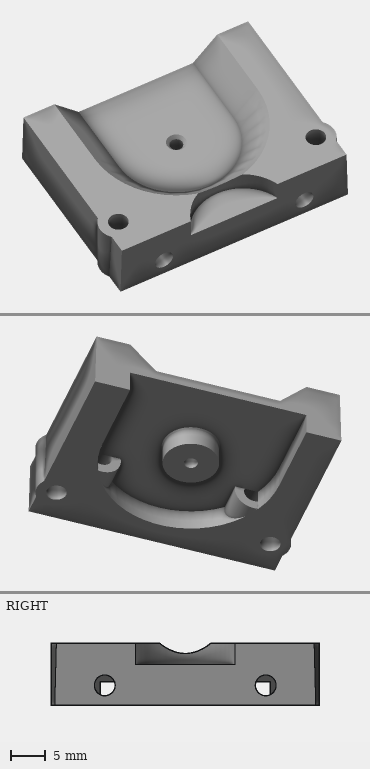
import cadquery as cq

length = 29.0
width = 38.8
height = 9.0
body_half_width_top = 18.6
body_half_width_bottom = 18.85

screw_hole_diameter = 3.0
lug_x = 23.97
lug_y = 16.35
lug_radius = width / 2 - lug_y

recess_x = 11.95
recess_top_radius = 13.5
recess_floor_z = 4.95
recess_depth = height - recess_floor_z
recess_floor_radius = recess_top_radius - recess_depth

pocket_radius = recess_top_radius
pocket_depth = 3.4

post_radius = 8.2 / 2
post_bottom_z = 0.27
flare_height = 0.27
flare_width = 0.15
center_hole_diameter = 2.0
countersink_diameter = 3.0

cross_hole_diameter = 3.0
cross_hole_y = 11.65
cross_hole_z = 2.9
cross_boss_radius = 2.9
cross_boss_x = 17.6

notch_radius = 7.65
notch_start_x = 23.97
notch_floor_z = 5.9


def cylinder(x, y, bottom_z, radius, cylinder_height):
    return cq.Workplane("XY", origin=(x, y, bottom_z)).circle(radius).extrude(cylinder_height)


def x_cylinder(start_x, y, z, radius):
    """Cylinder along X from start_x to the +X end of the body."""
    return cq.Workplane("YZ", origin=(start_x, y, z)).circle(radius).extrude(length - start_x)


def make_body():
    profile = [
        (-body_half_width_bottom, 0),
        (body_half_width_bottom, 0),
        (body_half_width_top, height),
        (-body_half_width_top, height),
    ]
    body = cq.Workplane("YZ").polyline(profile).close().extrude(length)
    for side in (-1, 1):
        body = body.union(cylinder(lug_x, side * lug_y, 0, lug_radius, height))
    return body


def make_recess():
    channel_profile = [
        (-recess_floor_radius, recess_floor_z),
        (recess_floor_radius, recess_floor_z),
        (recess_top_radius, height),
        (-recess_top_radius, height),
    ]
    channel = cq.Workplane("YZ").polyline(channel_profile).close().extrude(recess_x)
    cone = cq.Solid.makeCone(
        recess_floor_radius, recess_top_radius, recess_depth, cq.Vector(recess_x, 0, recess_floor_z)
    )
    return channel.union(cq.Workplane(cone))


def make_pocket():
    channel = cq.Workplane("XY").rect(2 * recess_x, 2 * pocket_radius).extrude(pocket_depth)
    pocket = channel.union(cylinder(recess_x, 0, 0, pocket_radius, pocket_depth))
    for side in (-1, 1):
        pocket = pocket.cut(x_cylinder(cross_boss_x, side * cross_hole_y, cross_hole_z, cross_boss_radius))
    return pocket


def make_post():
    post = cylinder(recess_x, 0, post_bottom_z, post_radius, pocket_depth - post_bottom_z)
    flare = cq.Solid.makeCone(
        post_radius,
        post_radius + flare_width,
        flare_height,
        cq.Vector(recess_x, 0, pocket_depth - flare_height),
    )
    return post.union(cq.Workplane(flare))


def make_center_hole():
    hole = cylinder(recess_x, 0, 0, center_hole_diameter / 2, height)
    countersink_depth = (countersink_diameter - center_hole_diameter) / 2
    countersink = cq.Solid.makeCone(
        center_hole_diameter / 2,
        countersink_diameter / 2,
        countersink_depth,
        cq.Vector(recess_x, 0, recess_floor_z - countersink_depth),
    )
    return hole.union(cq.Workplane(countersink))


result = make_body().cut(make_recess()).cut(make_pocket()).union(make_post()).cut(make_center_hole())
result = result.cut(
    cylinder(notch_start_x + notch_radius, 0, notch_floor_z, notch_radius, height - notch_floor_z)
)
for side in (-1, 1):
    result = result.cut(cylinder(lug_x, side * lug_y, 0, screw_hole_diameter / 2, height))
    result = result.cut(
        x_cylinder(cross_boss_x, side * cross_hole_y, cross_hole_z, cross_hole_diameter / 2)
    )